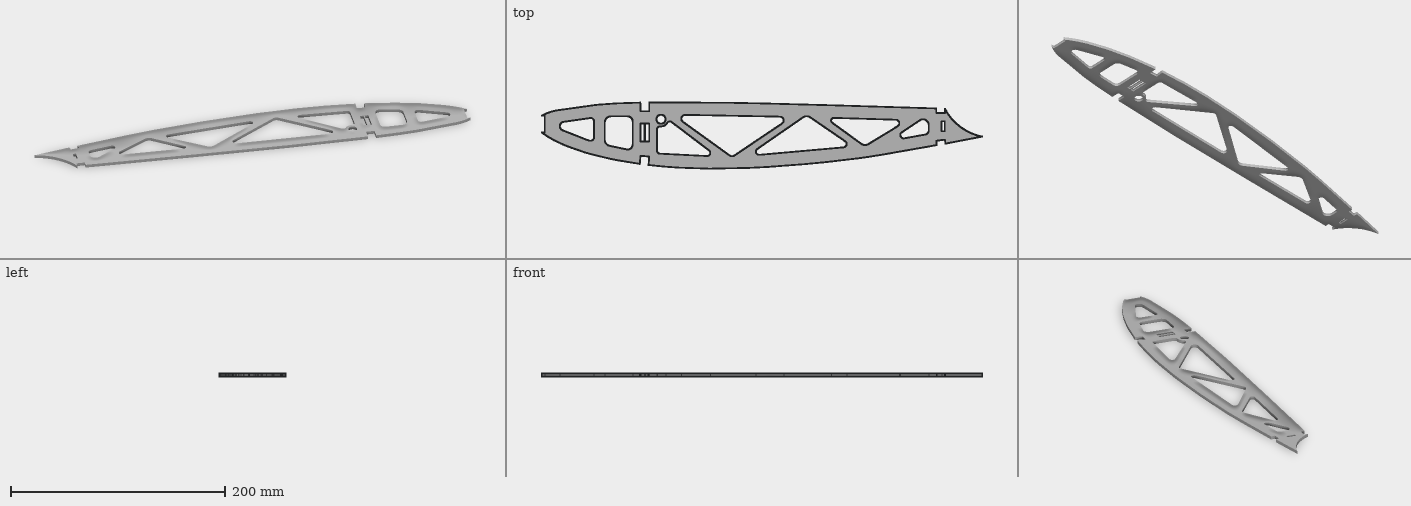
import cadquery as cq

length = 411.85
thickness = 3.0
height = 62.14
crown_y = height / 2
keel_y = -height / 2

nose_top_y = 18.4
nose_bottom_y = 2.9
nose_notch_depth = 2.9

spar_width = 8.0
front_spar_x = 96.5
tail_spar_x = 372.7
tail_spar_end_x = tail_spar_x + spar_width / 2

tail_tip_y = -1.0
tail_root_top_y = 25.2
tail_root_bottom_y = -7.8
tail_fairing_mid = (389.3, 9.6)

crown_curve = [
    (9.2, 22.4),
    (25.4, 25.3),
    (50.9, 28.7),
    (71.4, 30.2),
    (111.5, crown_y),
    (206.8, 30.1),
    (309.2, 27.2),
    (tail_spar_end_x, tail_root_top_y),
]
keel_curve = [
    (347.0, -12.9),
    (305.0, -20.1),
    (266.0, -24.9),
    (212.0, -29.4),
    (157.5, keel_y),
    (114.2, -29.1),
    (71.4, -23.3),
    (44.7, -17.1),
    (26.1, -10.9),
    (12.7, -5.0),
    (0.0, nose_bottom_y),
]

notch_run_out = 12.0
spar_notches = [
    ((front_spar_x, 22.8), 90.4),
    ((front_spar_x, -19.4), 265.4),
    ((tail_spar_x, 21.2), 90.0),
    ((tail_spar_x, -4.5), 278.0),
]

front_slot_width = 3.5
front_slot_height = 16.6
front_slot_y = 2.8
front_slot_offset = (spar_width - front_slot_width) / 2
tail_slot_width = 3.0
tail_slot_height = 9.0
tail_slot_x = 375.1
tail_slot_y = 8.7

rod_hole_centre = (111.6, 15.2)
rod_hole_radius = 4.2
rod_collar_radius = 6.8

pockets = [
    [(49.0, -6.5, 3.5), (49.0, 16.7, 3.0), (5.6, 10.5, 4.0)],
    [(59.2, -8.6, 5.5), (59.2, 17.8, 5.5), (85.0, 17.8, 4.5), (85.0, -14.0, 4.5)],
    [(123.0, 19.4, 3.5), (233.5, 17.3, 3.4), (177.9, -20.1, 4.0)],
    [(192.5, -18.9, 2.9), (247.6, 19.2, 5.6), (290.5, -10.2, 3.0)],
    [(265.2, 16.6, 2.4), (341.7, 14.3, 3.2), (301.9, -10.0, 6.0)],
    [(324.5, -5.1, 3.0), (361.5, 19.6, 5.2), (361.5, 1.6, 3.5)],
]

rod_bay = [(107.9, -16.7), (107.9, 22.8), (163.7, -19.5)]
rod_bay_radius = 2.8


def outline():
    return (
        cq.Workplane("XY")
        .moveTo(0, nose_top_y)
        .spline(crown_curve, includeCurrent=True)
        .threePointArc(tail_fairing_mid, (length, tail_tip_y))
        .lineTo(tail_spar_end_x, tail_root_bottom_y)
        .spline(keel_curve, includeCurrent=True)
        .lineTo(nose_notch_depth, nose_bottom_y)
        .lineTo(nose_notch_depth, nose_top_y)
        .close()
        .extrude(thickness)
    )


def prism(corners):
    return cq.Workplane("XY").polyline(corners).close().extrude(thickness)


def pocket(corners):
    cutter = prism([(x, y) for x, y, _ in corners])
    for x, y, radius in corners:
        corner_edge = cq.selectors.NearestToPointSelector((x, y, thickness / 2))
        cutter = cutter.edges("|Z").edges(corner_edge).fillet(radius)
    return cutter


def disc(radius):
    return cq.Workplane("XY").center(*rod_hole_centre).circle(radius).extrude(thickness)


def rod_pocket():
    """Pocket below the rod hole, hollowed so that a collar stays around the hole."""
    bay = prism(rod_bay).cut(disc(rod_collar_radius))
    return bay.solids("<Y").edges("|Z").fillet(rod_bay_radius)


def spar_notch(floor_centre, opening_angle):
    block = cq.Workplane("XY").box(notch_run_out, spar_width, thickness, centered=(False, True, False))
    return block.rotate((0, 0, 0), (0, 0, 1), opening_angle).translate(floor_centre)


def slot(x, y, width, slot_height):
    return cq.Workplane("XY").center(x, y).rect(width, slot_height).extrude(thickness)


result = outline()
for corners in pockets:
    result = result.cut(pocket(corners))
result = result.cut(rod_pocket()).cut(disc(rod_hole_radius))
for floor_centre, opening_angle in spar_notches:
    result = result.cut(spar_notch(floor_centre, opening_angle))
for side in (-1, 1):
    front_slot_x = front_spar_x + side * front_slot_offset
    result = result.cut(slot(front_slot_x, front_slot_y, front_slot_width, front_slot_height))
result = result.cut(slot(tail_slot_x, tail_slot_y, tail_slot_width, tail_slot_height))